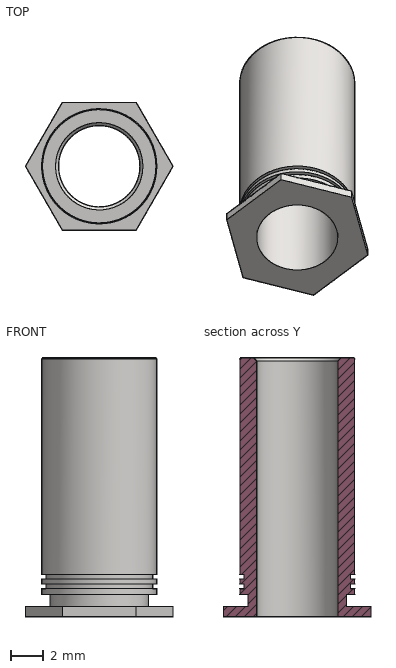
import cadquery as cq
import math

total_height = 16.0

flange_across_flats = 7.9
flange_across_corners = flange_across_flats / math.cos(math.pi / 6)
flange_thickness = 0.64

barrel_diameter = 7.12
barrel_bottom = 1.38
barrel_edge_chamfer = 0.06
neck_diameter = 6.1

groove_diameter = 6.6
groove_width = 0.27
first_groove_bottom = 1.75
groove_spacing = 0.6
groove_count = 2

bore_diameter = 5.0
bore_mouth_chamfer = 0.2


def cylinder(diameter, bottom, height):
    """Upright cylinder on the Z axis."""
    return cq.Workplane("XY").workplane(offset=bottom).circle(diameter / 2).extrude(height)


def make_flange():
    return cq.Workplane("XY").polygon(6, flange_across_corners).extrude(flange_thickness)


def make_barrel():
    barrel = cylinder(barrel_diameter, barrel_bottom, total_height - barrel_bottom)
    barrel = barrel.faces(">Z").edges().chamfer(barrel_edge_chamfer)
    for index in range(groove_count):
        bottom = first_groove_bottom + index * groove_spacing
        outer = cylinder(barrel_diameter, bottom, groove_width)
        core = cylinder(groove_diameter, bottom, groove_width)
        barrel = barrel.cut(outer.cut(core))
    return barrel


def make_bore():
    return cylinder(bore_diameter, 0, total_height)


neck = cylinder(neck_diameter, flange_thickness, barrel_bottom - flange_thickness)
result = make_flange().union(neck).union(make_barrel()).cut(make_bore())

result = result.faces(">Z").edges(cq.selectors.RadiusNthSelector(0)).chamfer(bore_mouth_chamfer)